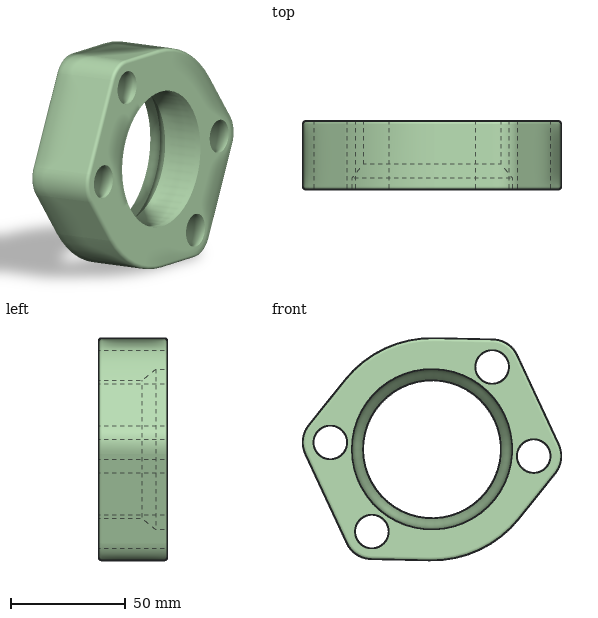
import cadquery as cq
import math

thickness = 30.0
tilt = 25.0
waist_radius = 48.5
corner_radius = 12.1
bolt_x = 38.9
bolt_y = 21.4
bolt_diameter = 14.5
bore_diameter = 60.0
mouth_diameter = 70.0
mouth_depth = 5.2
taper_end_depth = 11.3
edge_radius = 1.5

bolt_points = [(sx * bolt_x, sy * bolt_y) for sx in (-1, 1) for sy in (-1, 1)]


def polar(center, radius, angle):
    return (center[0] + radius * math.cos(angle), center[1] + radius * math.sin(angle))


def flange_body():
    """Outline of straight sides tangent to the waist arcs and the corner arcs."""
    bolt_circle_radius = math.hypot(bolt_x, bolt_y)
    normal = math.atan2(bolt_y, bolt_x) + math.acos((waist_radius - corner_radius) / bolt_circle_radius)

    corner = (bolt_x, bolt_y)
    end = polar(corner, corner_radius, 0)
    corner_mid = polar(corner, corner_radius, normal / 2)
    corner_end = polar(corner, corner_radius, normal)
    waist_start = polar((0, 0), waist_radius, normal)

    def mirrored(point):
        return (-point[0], point[1])

    def opposite(point):
        return (-point[0], -point[1])

    def half_outline(sketch, place):
        return (
            sketch.threePointArc(place(corner_mid), place(corner_end))
            .lineTo(*place(waist_start))
            .threePointArc(place((0, waist_radius)), place(mirrored(waist_start)))
            .lineTo(*place(mirrored(corner_end)))
            .threePointArc(place(mirrored(corner_mid)), place(mirrored(end)))
        )

    sketch = half_outline(cq.Workplane("XY").moveTo(*end), lambda point: point)
    sketch = sketch.lineTo(*opposite(end))
    sketch = half_outline(sketch, opposite).close()
    return sketch.extrude(thickness).faces("<Z or >Z").edges().fillet(edge_radius)


def bore_cutter():
    """Through bore with a straight mouth at the front face and a conical step down behind it."""
    bore_radius = bore_diameter / 2
    profile = [
        (0, 0),
        (bore_radius, 0),
        (bore_radius, thickness - taper_end_depth),
        (mouth_diameter / 2, thickness - mouth_depth),
        (mouth_diameter / 2, thickness),
        (0, thickness),
    ]
    return cq.Workplane("XZ").polyline(profile).close().revolve(360, (0, 0), (0, 1))


bolt_holes = cq.Workplane("XY").pushPoints(bolt_points).circle(bolt_diameter / 2).extrude(thickness)
flange = flange_body().cut(bore_cutter()).cut(bolt_holes)

result = (
    flange.translate((0, 0, -thickness / 2))
    .rotate((0, 0, 0), (0, 0, 1), tilt)
    .rotate((0, 0, 0), (1, 0, 0), 90)
)